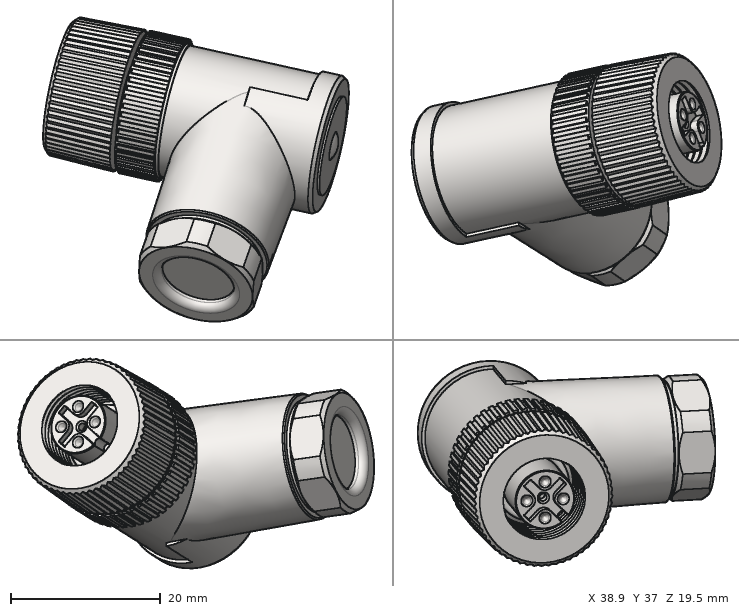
import cadquery as cq
import math


NUT_START, NUT_END = 0.5, 10.0
NUT_PEAK_START, NUT_PEAK_END = 9.45, 9.72
NUT_TOOTH_DEPTH = 0.25
NUT_TEETH = 60
NUT_TOOTH_PHASE = 1.5
NUT_CHAMFER = 0.65
NUT_FACE_RADIUS = 8.83

BORE_RADIUS = 11.2 / 2
THREAD_ROOT_RADIUS = 6.0
THREAD_PITCH = 1.0
BORE_FLOOR = 8.55
THREAD_TURNS = 7

INSERT_RADIUS = 4.05
INSERT_CHAMFER = 0.1
SOCKET_CIRCLE_RADIUS = 2.5
SOCKET_MOUTH_RADIUS = 1.6 / 2
COUNTERSINK_DEPTH = 0.2
OUTER_HOLE_RADIUS = 1.1 / 2
CENTRE_HOLE_RADIUS = 1.0 / 2
CENTRE_HOLE_DEPTH = 1.55
CROSS_WIDTH = 1.25
CROSS_LENGTH = 6.92
CROSS_DEPTH = 1.1
CROSS_CORNER_RADIUS = 1.1
KEY_RADIUS = 0.65
KEY_OFFSET = 3.75
KEY_ANGLE = 225
CROSS_ANGLE = 45
KEY_DEPTH = 3.9
SEAL_RADIUS = 4.47
SEAL_SECTION_RADIUS = 0.5
SHOULDER_INNER_RADIUS = 4.85
SHOULDER_HEIGHT = 0.6

NECK_RADIUS = 13.0 / 2
RING_START, RING_END = 10.6, 16.15
RING_RADIUS = 9.75
RING_ROOT_RADIUS = 9.45
RING_TEETH_START = 10.9
RING_TEETH = 50
RING_TOOTH_PHASE = 0.9
COLLAR_RADIUS = 9.18
COLLAR_END = 16.55

BODY_RADIUS = 9.0
ARM_X = 26.83
CAP_RADIUS = 18.9 / 2
CAP_RING_START = 34.8
CAP_END = 37.95
CAP_CHAMFER_LENGTH = 0.55
CAP_CHAMFER_DEPTH = 0.35
DISC_RADIUS = 6.75
DISC_END = 38.25
BUTTON_RADIUS = 1.95
TOTAL_LENGTH = 38.88

ARM_START = 0.3
ARM_END = 21.7
ARM_RADIUS_AT_START = 8.95
ARM_RADIUS_AT_END = 8.5
ARM_EDGE_CHAMFER = 0.2
ARM_TILT = 0.6
ARM_NECK_RADIUS = 15.25 / 2
ARM_NECK_OVERLAP = 0.4
CABLE_NUT_Z = 0.215
CABLE_NUT_START, CABLE_NUT_END = 22.28, 27.3
CABLE_NUT_SIDES = 6
CABLE_NUT_FLATS = 15.8
CABLE_NUT_RADIUS = 16.8 / 2
CABLE_NUT_CHAMFER = 0.55
CABLE_RADIUS = 5.0
CABLE_LIP_RADIUS = 1.0
CABLE_RECESS_DEPTH = 1.48


def turned(points):
    """Solid of revolution about X from a profile of (x, radius) points."""
    return cq.Workplane("XY").polyline(points).close().revolve(360, (0, 0, 0), (1, 0, 0))


def disc(start, end, radius):
    """Cylinder along X."""
    return cq.Workplane("YZ", origin=(start, 0, 0)).circle(radius).extrude(end - start)


def polar(radius, angle):
    return radius * math.cos(angle), radius * math.sin(angle)


def pointed_teeth(peak):
    """Closed outline of sharp teeth, alternating between peak and valley."""
    step = math.pi / NUT_TEETH
    radii = (peak, peak - NUT_TOOTH_DEPTH)
    phase = math.radians(NUT_TOOTH_PHASE)
    return [polar(radii[i % 2], phase + i * step) for i in range(2 * NUT_TEETH)]


def square_teeth():
    """Closed outline of flat-topped teeth as wide as the gaps between them."""
    step = math.pi / RING_TEETH
    phase = math.radians(RING_TOOTH_PHASE)
    points = []
    for i in range(RING_TEETH):
        for radius, edge in (
            (RING_RADIUS, -0.5),
            (RING_RADIUS, 0.5),
            (RING_ROOT_RADIUS, 0.5),
            (RING_ROOT_RADIUS, 1.5),
        ):
            points.append(polar(radius, phase + (2 * i + edge) * step))
    return points


def coupling_nut():
    length = NUT_END - NUT_START
    nut = (
        cq.Workplane("YZ", origin=(NUT_START, 0, 0))
        .polyline(pointed_teeth(NUT_PEAK_START))
        .close()
        .workplane(offset=length)
        .polyline(pointed_teeth(NUT_PEAK_END))
        .close()
        .loft(ruled=True)
    )
    envelope = turned([
        (NUT_START, 0),
        (NUT_START, NUT_FACE_RADIUS),
        (NUT_START + NUT_CHAMFER, NUT_FACE_RADIUS + NUT_CHAMFER),
        (NUT_END, NUT_PEAK_END + NUT_CHAMFER),
        (NUT_END, 0),
    ])
    nut = nut.intersect(envelope)
    nut = nut.cut(disc(NUT_START, BORE_FLOOR, BORE_RADIUS))
    half_pitch = THREAD_PITCH / 2
    for turn in range(THREAD_TURNS):
        root_x = NUT_START + (turn + 0.5) * THREAD_PITCH
        groove = turned([
            (root_x - half_pitch, BORE_RADIUS),
            (root_x, THREAD_ROOT_RADIUS),
            (root_x + half_pitch, BORE_RADIUS),
        ])
        nut = nut.cut(groove)
    return nut


def insert_shaft():
    """Round shaft of the insert, with its seal and the shoulder behind it."""
    shaft = disc(0, BORE_FLOOR, INSERT_RADIUS).faces("<X").chamfer(INSERT_CHAMFER)
    shoulder = turned([
        (BORE_FLOOR, 0),
        (BORE_FLOOR - SHOULDER_HEIGHT, 0),
        (BORE_FLOOR - SHOULDER_HEIGHT, SHOULDER_INNER_RADIUS),
        (BORE_FLOOR, BORE_RADIUS),
    ])
    seal = (
        cq.Workplane("XY")
        .center(BORE_FLOOR - SHOULDER_HEIGHT, SEAL_RADIUS)
        .circle(SEAL_SECTION_RADIUS)
        .revolve(360, (0, -SEAL_RADIUS, 0), (1, -SEAL_RADIUS, 0))
    )
    return shaft.union(shoulder).union(seal)


def insert_cross():
    """Diagonal cross recess with rounded inner corners."""
    cross = cq.Workplane("YZ").rect(CROSS_LENGTH, CROSS_WIDTH).extrude(CROSS_DEPTH)
    cross = cross.union(cq.Workplane("YZ").rect(CROSS_WIDTH, CROSS_LENGTH).extrude(CROSS_DEPTH))
    middle = cq.selectors.BoxSelector(
        (0, -CROSS_WIDTH, -CROSS_WIDTH),
        (CROSS_DEPTH, CROSS_WIDTH, CROSS_WIDTH),
    )
    cross = cross.edges("|X").edges(middle).fillet(CROSS_CORNER_RADIUS)
    return cross.rotate((0, 0, 0), (1, 0, 0), CROSS_ANGLE)


def outer_socket():
    """Countersunk socket with a conical bottom, on the X axis."""
    return turned([
        (0, 0),
        (0, SOCKET_MOUTH_RADIUS),
        (COUNTERSINK_DEPTH, OUTER_HOLE_RADIUS),
        (COUNTERSINK_DEPTH + OUTER_HOLE_RADIUS, 0),
    ])


def centre_socket():
    """Countersunk socket with a flat bottom, sunk into the floor of the cross."""
    return turned([
        (CROSS_DEPTH, 0),
        (CROSS_DEPTH, SOCKET_MOUTH_RADIUS),
        (CROSS_DEPTH + COUNTERSINK_DEPTH, CENTRE_HOLE_RADIUS),
        (CROSS_DEPTH + CENTRE_HOLE_DEPTH, CENTRE_HOLE_RADIUS),
        (CROSS_DEPTH + CENTRE_HOLE_DEPTH, 0),
    ])


def contact_insert():
    insert = insert_shaft().cut(insert_cross()).cut(centre_socket())
    for y, z in ((1, 0), (0, 1), (-1, 0), (0, -1)):
        offset = (0, y * SOCKET_CIRCLE_RADIUS, z * SOCKET_CIRCLE_RADIUS)
        insert = insert.cut(outer_socket().translate(offset))
    key_y, key_z = polar(KEY_OFFSET, math.radians(KEY_ANGLE))
    return insert.cut(disc(0, KEY_DEPTH, KEY_RADIUS).translate((0, key_y, key_z)))


def grip_ring():
    neck = disc(BORE_FLOOR, RING_START, NECK_RADIUS)
    core = disc(RING_START, RING_END, RING_ROOT_RADIUS)
    teeth = (
        cq.Workplane("YZ", origin=(RING_TEETH_START, 0, 0))
        .polyline(square_teeth())
        .close()
        .extrude(RING_END - RING_TEETH_START)
    )
    collar = disc(RING_END, COLLAR_END, COLLAR_RADIUS)
    return neck.union(core).union(teeth).union(collar)


def end_cap():
    cap = turned([
        (ARM_X, 0),
        (ARM_X, CAP_RADIUS),
        (CAP_END - CAP_CHAMFER_LENGTH, CAP_RADIUS),
        (CAP_END, CAP_RADIUS - CAP_CHAMFER_DEPTH),
        (CAP_END, 0),
    ])
    cutaway = cq.Workplane("XY").box(
        CAP_RING_START - ARM_X,
        CAP_RADIUS + ARM_START,
        2 * CAP_RADIUS,
        centered=(False, False, True),
    )
    cap = cap.cut(cutaway.translate((ARM_X, -ARM_START, 0)))
    cap_disc = disc(CAP_END, DISC_END, DISC_RADIUS)
    rise = TOTAL_LENGTH - DISC_END
    dome_radius = (BUTTON_RADIUS**2 + rise**2) / (2 * rise)
    half_angle = math.asin(BUTTON_RADIUS / dome_radius) / 2
    dome_middle = (
        TOTAL_LENGTH - dome_radius * (1 - math.cos(half_angle)),
        dome_radius * math.sin(half_angle),
    )
    dome = (
        cq.Workplane("XY")
        .moveTo(CAP_END, 0)
        .lineTo(CAP_END, BUTTON_RADIUS)
        .lineTo(DISC_END, BUTTON_RADIUS)
        .threePointArc(dome_middle, (TOTAL_LENGTH, 0))
        .close()
        .revolve(360, (0, 0, 0), (1, 0, 0))
    )
    return cap.union(cap_disc).union(dome)


def housing():
    return disc(RING_END, CAP_END - CAP_CHAMFER_LENGTH, BODY_RADIUS)


def arm_plane(distance, z=0):
    """Workplane across the cable arm, facing away from the plug axis."""
    return cq.Workplane("XZ", origin=(ARM_X, -distance, z))


def cable_arm():
    arm = (
        arm_plane(ARM_START)
        .circle(ARM_RADIUS_AT_START)
        .workplane(offset=ARM_END - ARM_START)
        .circle(ARM_RADIUS_AT_END)
        .loft()
        .faces("<Y")
        .chamfer(ARM_EDGE_CHAMFER)
    )
    return arm.rotate((0, 0, 0), (1, 0, 0), -ARM_TILT)


def cable_nut():
    length = CABLE_NUT_END - CABLE_NUT_START
    blank = (
        arm_plane(CABLE_NUT_START, CABLE_NUT_Z)
        .circle(CABLE_NUT_RADIUS)
        .extrude(length)
        .faces("<Y or >Y")
        .chamfer(CABLE_NUT_CHAMFER)
    )
    corner_diameter = CABLE_NUT_FLATS / math.cos(math.pi / CABLE_NUT_SIDES)
    hexagon = (
        arm_plane(CABLE_NUT_START, CABLE_NUT_Z)
        .transformed(rotate=(0, 0, 180 / CABLE_NUT_SIDES))
        .polygon(CABLE_NUT_SIDES, corner_diameter)
        .extrude(length)
    )
    recess = (
        arm_plane(CABLE_NUT_END - CABLE_RECESS_DEPTH, CABLE_NUT_Z)
        .circle(CABLE_RADIUS)
        .extrude(CABLE_RECESS_DEPTH)
    )
    nut = blank.intersect(hexagon).cut(recess)
    recess_mouth = cq.selectors.RadiusNthSelector(0)
    nut = nut.faces("<Y").edges("%CIRCLE").edges(recess_mouth).fillet(CABLE_LIP_RADIUS)
    neck_start = ARM_END - ARM_NECK_OVERLAP
    neck = (
        arm_plane(neck_start, CABLE_NUT_Z)
        .circle(ARM_NECK_RADIUS)
        .extrude(CABLE_NUT_START - neck_start)
    )
    return nut.union(neck)


result = housing().union(cable_arm()).union(end_cap())
result = result.union(grip_ring()).union(coupling_nut()).union(contact_insert()).union(cable_nut())